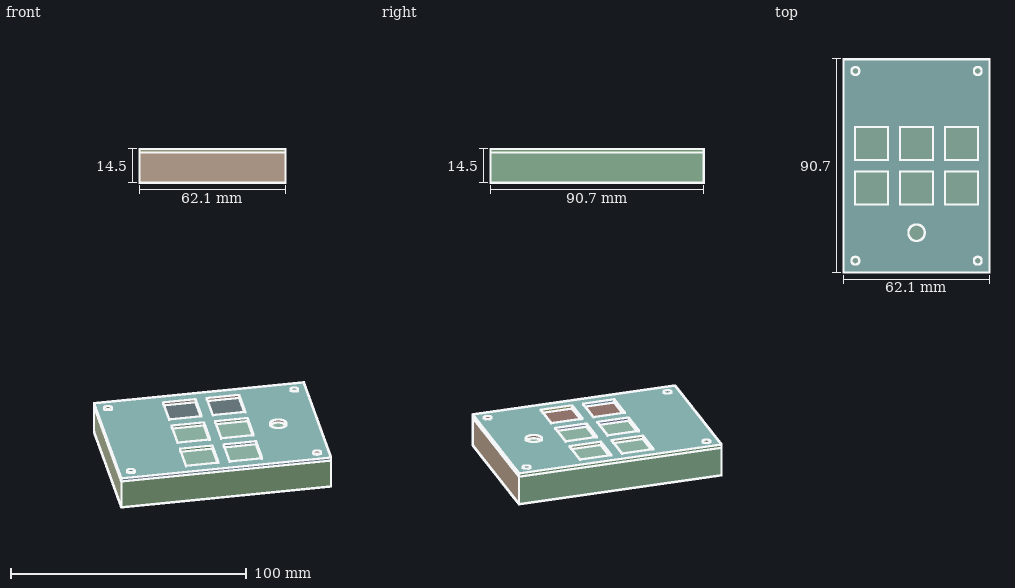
import cadquery as cq

WIDTH = 62.1
LENGTH = 90.7
HEIGHT = 14.5

WALL = 2.0
FLOOR = 3.0

PLATE_THICKNESS = 1.5
SCREW_DIAMETER = 3.4
SCREW_INSET = 5.1

KEY_SIZE = 14.1
KEY_PITCH_X = 19.1
KEY_PITCH_Y = 18.9
KEY_COLUMNS = 3
KEY_ROWS = 2
BUTTON_DIAMETER = 7.0
BUTTON_Y = -28.4

HOUSING_HEIGHT = HEIGHT - PLATE_THICKNESS


def make_housing():
    """Rectangular tray with even side walls and a flat floor."""
    block = cq.Workplane("XY").box(WIDTH, LENGTH, HOUSING_HEIGHT, centered=(True, True, False))
    cavity = (
        cq.Workplane("XY")
        .workplane(offset=FLOOR)
        .rect(WIDTH - 2 * WALL, LENGTH - 2 * WALL)
        .extrude(HOUSING_HEIGHT - FLOOR)
    )
    return block.cut(cavity)


def make_cover():
    """Flat plate with corner screw holes, a grid of key windows and a button hole."""
    plate = (
        cq.Workplane("XY")
        .workplane(offset=HOUSING_HEIGHT)
        .rect(WIDTH, LENGTH)
        .extrude(PLATE_THICKNESS)
    )
    top = plate.faces(">Z").workplane(origin=(0, 0, HEIGHT))
    screw_holes = (
        top.rect(WIDTH - 2 * SCREW_INSET, LENGTH - 2 * SCREW_INSET, forConstruction=True)
        .vertices()
        .circle(SCREW_DIAMETER / 2)
        .extrude(-PLATE_THICKNESS, combine=False)
    )
    key_windows = (
        top.rarray(KEY_PITCH_X, KEY_PITCH_Y, KEY_COLUMNS, KEY_ROWS)
        .rect(KEY_SIZE, KEY_SIZE)
        .extrude(-PLATE_THICKNESS, combine=False)
    )
    button_hole = (
        top.center(0, BUTTON_Y)
        .circle(BUTTON_DIAMETER / 2)
        .extrude(-PLATE_THICKNESS, combine=False)
    )
    return plate.cut(screw_holes).cut(key_windows).cut(button_hole)


housing = make_housing()
cover = make_cover()

result = cq.Compound.makeCompound([housing.solids().val(), cover.solids().val()])